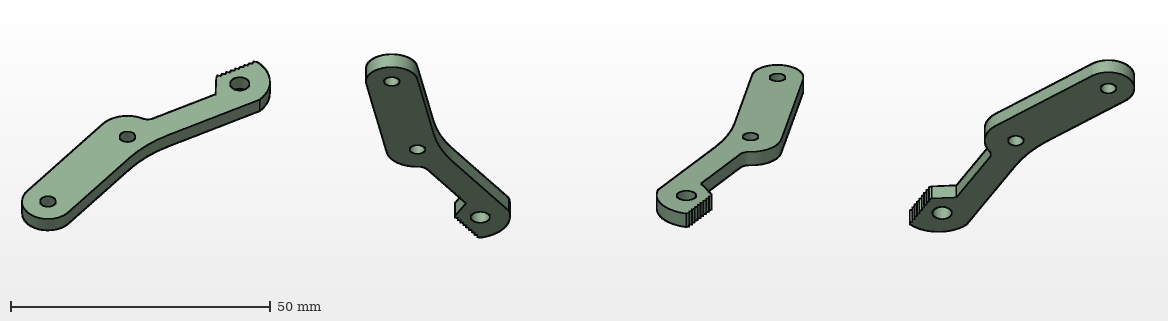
import cadquery as cq
import math

overall_width = 20.0
overall_length = 60.3
thickness = 3.0

pivot_hole_dia = 3.0
head_hole_dia = 3.75
lower_pivot = (0, 0)
middle_pivot = (-8.45, 22.55)
head_hole = (-10.8, 48.9)

end_radius = 5.0
boss_radius = 6.0

neck_left = -10.55
neck_right = -4.95
neck_top = 43.35
inner_fillet = 2.0
outer_bend_radius = 25.0

head_radius = 7.65
head_centre = (-12.25, overall_length - end_radius - head_radius)
tooth_count = 9
tooth_row_length = 9.05
tooth_depth = 0.35
tooth_pitch = tooth_row_length / tooth_count
tooth_tip_x = end_radius - overall_width
tooth_root_x = tooth_tip_x + tooth_depth


def polar(centre, radius, angle):
    """Point at the given angle (radians) on a circle."""
    return (centre[0] + radius * math.cos(angle), centre[1] + radius * math.sin(angle))


def height_on_circle(centre, radius, x):
    """Upper y value of a circle at the given x."""
    return centre[1] + math.sqrt(radius**2 - (x - centre[0]) ** 2)


pivot_distance = math.hypot(*middle_pivot)
pivot_angle = math.atan2(middle_pivot[1], middle_pivot[0])
arm_angle = pivot_angle + math.asin((boss_radius - end_radius) / pivot_distance)
left_normal = arm_angle + math.pi / 2
right_normal = arm_angle - math.pi / 2

end_left = polar(lower_pivot, end_radius, left_normal)
end_bottom = polar(lower_pivot, end_radius, arm_angle + math.pi)
end_right = polar(lower_pivot, end_radius, right_normal)
boss_tangent = polar(middle_pivot, boss_radius, left_normal)

fillet_x = neck_left - inner_fillet
fillet_y = height_on_circle(middle_pivot, boss_radius + inner_fillet, fillet_x)
fillet_centre = (fillet_x, fillet_y)
boss_to_fillet = math.atan2(fillet_y - middle_pivot[1], fillet_x - middle_pivot[0])
boss_end = polar(middle_pivot, boss_radius, boss_to_fillet)
boss_mid = polar(middle_pivot, boss_radius, (left_normal + boss_to_fillet) / 2)
fillet_mid = polar(fillet_centre, inner_fillet, (boss_to_fillet - math.pi) / 2)
fillet_end = (neck_left, fillet_y)

bend_x = neck_right + outer_bend_radius
bend_offset = end_radius + outer_bend_radius
bend_y = (bend_offset - bend_x * math.cos(right_normal)) / math.sin(right_normal)
bend_centre = (bend_x, bend_y)
bend_start = polar(bend_centre, outer_bend_radius, left_normal)
bend_mid = polar(bend_centre, outer_bend_radius, (left_normal + math.pi) / 2)
bend_end = (neck_right, bend_y)

head_start = (neck_right, height_on_circle(head_centre, head_radius, neck_right))
head_top = polar(head_centre, head_radius, math.pi / 2)
head_end = (tooth_root_x, height_on_circle(head_centre, head_radius, tooth_root_x))

outline = (
    cq.Workplane("XY")
    .moveTo(*end_left)
    .threePointArc(end_bottom, end_right)
    .lineTo(*bend_start)
    .threePointArc(bend_mid, bend_end)
    .lineTo(*head_start)
    .threePointArc(head_top, head_end)
)

for tooth in range(tooth_count):
    upper_root_y = head_end[1] - tooth * tooth_pitch
    outline = outline.lineTo(tooth_tip_x, upper_root_y - tooth_pitch / 2)
    outline = outline.lineTo(tooth_root_x, upper_root_y - tooth_pitch)

outline = (
    outline.lineTo(neck_left, neck_top)
    .lineTo(*fillet_end)
    .threePointArc(fillet_mid, boss_end)
    .threePointArc(boss_mid, boss_tangent)
    .close()
)

pivot_cutters = (
    cq.Workplane("XY")
    .pushPoints([lower_pivot, middle_pivot])
    .circle(pivot_hole_dia / 2)
    .extrude(thickness)
)
head_cutter = cq.Workplane("XY").center(*head_hole).circle(head_hole_dia / 2).extrude(thickness)

result = outline.extrude(thickness).cut(pivot_cutters).cut(head_cutter)